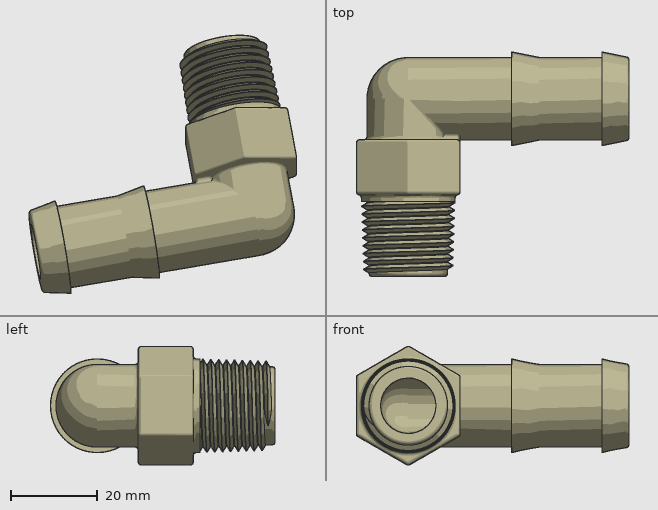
import cadquery as cq
import math


pipe_radius = 19.05 / 2
bore_radius = 12.7 / 2
edge_radius = 0.762

hose_length = 50.8
barb_radius = 21.59 / 2
barb_length = 6.3
barb_starts = (23.8, hose_length - barb_length)

hex_across_flats = 23.876
hex_side = hex_across_flats / 2
hex_length = 12.7
hex_top = -9.4
hex_bottom = hex_top - hex_length
collar_radius = barb_radius
collar_length = 1.55
collar_bottom = hex_bottom - collar_length

leg_end = -40.895
taper_angle = math.degrees(math.atan(1 / 32))
pitch = 25.4 / 14
thread_turns = 9
thread_start = -39.25
root_end_radius = 9.0
crest_height = 1.2
root_width = 0.95 * pitch
crest_width = 0.12
root_overlap = 0.1
runout_radius = 5.5
runout_angle = 75

band_half_width = 0.15


def cylinder_along_x(radius, length):
    return cq.Workplane("YZ").circle(radius).extrude(length)


def cylinder_along_y(radius, top, bottom):
    return cq.Workplane("XZ", origin=(0, top, 0)).circle(radius).extrude(top - bottom)


def root_radius(y):
    return root_end_radius + (y - leg_end) * math.tan(math.radians(taper_angle))


def make_hexagon():
    corner_diameter = hex_across_flats / math.cos(math.radians(30))
    return (
        cq.Workplane("XZ", origin=(0, hex_top, 0))
        .transformed(rotate=(0, 0, 30))
        .polygon(6, corner_diameter)
        .extrude(hex_length)
        .edges("|Y")
        .fillet(edge_radius)
    )


def make_barb(start):
    end = start + barb_length
    profile = (
        cq.Workplane("XY")
        .moveTo(start, 0)
        .lineTo(start, barb_radius)
        .lineTo(end, pipe_radius)
        .lineTo(end, 0)
        .close()
    )
    return profile.revolve(360, (0, 0, 0), (1, 0, 0))


def make_hose_leg():
    leg = cylinder_along_x(pipe_radius, hose_length)
    for start in barb_starts:
        leg = leg.union(make_barb(start))
    return leg.faces(">X").edges().fillet(edge_radius)


def make_thread_core():
    top_radius = root_radius(hex_bottom)
    profile = (
        cq.Workplane("XY")
        .moveTo(0, hex_bottom)
        .lineTo(top_radius, hex_bottom)
        .lineTo(root_end_radius, leg_end)
        .lineTo(0, leg_end)
        .close()
    )
    core = profile.revolve(360, (0, 0, 0), (0, 1, 0))
    return core.faces("<Y").edges().fillet(edge_radius)


def tooth_profile():
    root = root_radius(thread_start)
    inner = root - root_overlap
    crest = root + crest_height
    return (
        cq.Workplane("XZ")
        .moveTo(inner, -root_width / 2)
        .lineTo(crest, -crest_width / 2)
        .lineTo(crest, crest_width / 2)
        .lineTo(inner, root_width / 2)
        .close()
    )


def make_thread():
    root = root_radius(thread_start)
    helix = cq.Wire.makeHelix(pitch, thread_turns * pitch, root, angle=taper_angle)
    ridge = tooth_profile().sweep(cq.Workplane(helix), isFrenet=True)
    curl_center = root + crest_height - runout_radius
    runout = tooth_profile().revolve(runout_angle, (curl_center, 0), (curl_center, -1))
    ridge = ridge.union(runout)
    ridge = ridge.rotate((0, 0, 0), (0, 0, 1), 180)
    ridge = ridge.rotate((0, 0, 0), (1, 0, 0), -90)
    return ridge.translate((0, thread_start, 0))


def edges_in_band(y, x_min, x_max, z_reach):
    """Select the edges centred close to the plane at height y."""
    return cq.selectors.BoxSelector(
        (x_min, y - band_half_width, -z_reach),
        (x_max, y + band_half_width, z_reach),
    )


def make_hexagon_and_collar():
    hexagon = make_hexagon().faces("<Y or >Y").edges().fillet(edge_radius)
    body = hexagon.union(cylinder_along_y(collar_radius, hex_bottom, collar_bottom))
    collar_rim = edges_in_band(hex_bottom, -bore_radius, bore_radius, bore_radius)
    return body.edges(collar_rim).fillet(edge_radius)


def make_outer_body():
    upright = cylinder_along_y(pipe_radius, 0, hex_bottom)
    elbow = upright.union(cq.Workplane("XY").sphere(pipe_radius))
    hose_pipe = cylinder_along_x(pipe_radius, hose_length)
    body = elbow.union(hose_pipe).union(make_hexagon_and_collar())
    mitre = body.edges("%ELLIPSE")
    neck = body.edges(edges_in_band(hex_top, -edge_radius, edge_radius, edge_radius))
    hose_contact = body.edges(edges_in_band(hex_top, pipe_radius, hex_side, 2 * edge_radius))
    body = mitre.add(neck).add(hose_contact).fillet(edge_radius)
    beyond_hexagon = cylinder_along_x(2 * hex_across_flats, hose_length).translate((hex_side, 0, 0))
    body = body.cut(beyond_hexagon)
    return body.union(make_hose_leg())


def make_bore():
    upright = cylinder_along_y(bore_radius, 0, leg_end)
    corner = cq.Workplane("XY").sphere(bore_radius)
    return upright.union(corner).union(cylinder_along_x(bore_radius, hose_length))


threaded_end = make_thread_core().union(make_thread())
result = make_outer_body().union(threaded_end).cut(make_bore())